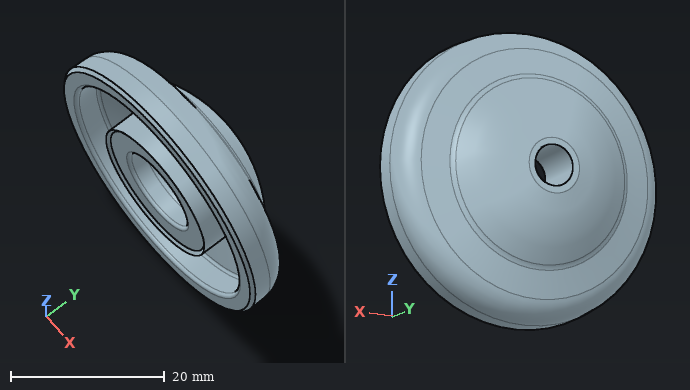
import cadquery as cq
import math


outer_radius = 19.5
total_depth = 12.3
rim_face_depth = 0.3
rim_chamfer = 0.5
rim_band_end = 3.3
band_end_radius = 19.4
shoulder_radius, shoulder_depth = 16.68, 6.85
neck_radius, neck_depth = 13.05, 8.0
dome_base_radius, dome_base_depth = 12.45, 8.4
neck_hollow = 0.03
dome_top_radius = 3.7
dome_bulge = 0.6

pocket_wall_radius = 16.5
pocket_wall_end = 3.97
pocket_floor_depth = 6.25
rim_lip_round = 0.5
pocket_corner_round = 0.45
hub_root_round = 0.43

hub_radius = 10.0
hub_recess_radius = 9.5
hub_recess_depth = 0.4
bore_radius = 5.85
bore_lip_round = 0.45
bore_corner_round = 1.15
bore_depth = 3.97
bore_floor_end = 4.68
hole_radius = 2.75


def arc_middle(start, end, bulge):
    """Middle point of an arc; a positive bulge is away from the axis, a negative one hollow."""
    run = end[0] - start[0]
    rise = end[1] - start[1]
    chord = math.hypot(run, rise)
    return (
        (start[0] + end[0]) / 2 + bulge * rise / chord,
        (start[1] + end[1]) / 2 - bulge * run / chord,
    )


def turned(sketch):
    return sketch.close().revolve(360, (0, 0, 0), (0, 1, 0))


def round_circle(body, radius, depth, size):
    """Round the circular edge at the given radius and depth."""
    tolerance = 0.005
    reach = radius + tolerance
    edges = body.edges(
        cq.selectors.BoxSelector(
            (-reach, depth - tolerance, -reach), (reach, depth + tolerance, reach), boundingbox=True
        )
    ).filter(lambda edge: edge.geomType() == "CIRCLE" and abs(edge.radius() - radius) < tolerance)
    return body.newObject(edges.vals()).fillet(size)


def make_shell():
    """Solid outer form, without pocket or bore."""
    neck = (neck_radius, neck_depth)
    dome_base = (dome_base_radius, dome_base_depth)
    dome_top = (dome_top_radius, total_depth)
    return turned(
        cq.Workplane("XY")
        .moveTo(0, rim_face_depth)
        .lineTo(outer_radius - rim_chamfer, rim_face_depth)
        .lineTo(outer_radius, rim_face_depth + rim_chamfer)
        .lineTo(band_end_radius, rim_band_end)
        .tangentArcPoint((shoulder_radius, shoulder_depth), relative=False)
        .lineTo(*neck)
        .threePointArc(arc_middle(neck, dome_base, -neck_hollow), dome_base)
        .threePointArc(arc_middle(dome_base, dome_top, dome_bulge), dome_top)
        .lineTo(0, total_depth)
    )


def make_pocket():
    """Ring cut with a straight wall and a conical floor."""
    return turned(
        cq.Workplane("XY")
        .moveTo(hub_radius, rim_face_depth)
        .lineTo(pocket_wall_radius, rim_face_depth)
        .lineTo(pocket_wall_radius, pocket_wall_end)
        .lineTo(hub_radius, pocket_floor_depth)
    )


def make_hub():
    """Plain cylinder from the front edge to the root of the pocket floor."""
    return cq.Workplane("XZ").circle(hub_radius).extrude(-pocket_floor_depth)


def make_bore():
    """Shallow face recess, counterbore, conical floor and through hole."""
    return turned(
        cq.Workplane("XY")
        .lineTo(hub_radius, 0)
        .lineTo(hub_recess_radius, hub_recess_depth)
        .lineTo(bore_radius, hub_recess_depth)
        .lineTo(bore_radius, bore_depth)
        .lineTo(hole_radius, bore_floor_end)
        .lineTo(hole_radius, total_depth)
        .lineTo(0, total_depth)
    )


body = make_shell().cut(make_pocket()).union(make_hub()).cut(make_bore())
body = round_circle(body, pocket_wall_radius, rim_face_depth, rim_lip_round)
body = round_circle(body, pocket_wall_radius, pocket_wall_end, pocket_corner_round)
body = round_circle(body, hub_radius, pocket_floor_depth, hub_root_round)
body = round_circle(body, bore_radius, hub_recess_depth, bore_lip_round)
result = round_circle(body, bore_radius, bore_depth, bore_corner_round)